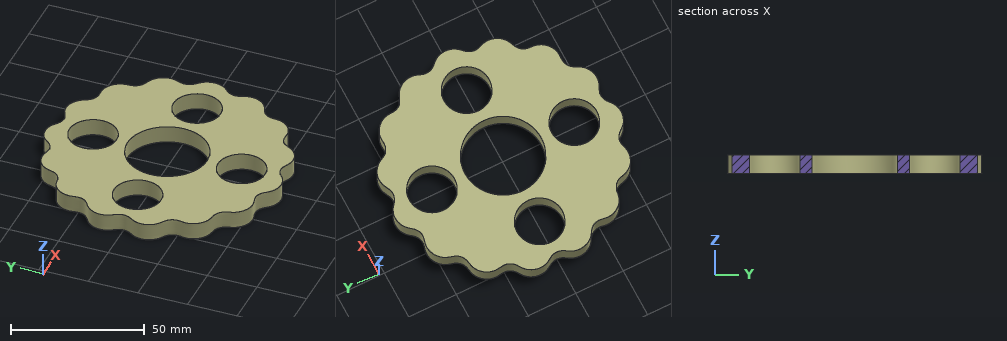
import cadquery as cq
import math

outer_length = 95.1
thickness = 7.0
lobe_count = 15
pin_count = lobe_count + 1
pin_circle_radius = 49.9
rolling_ratio = 0.6
eccentricity = rolling_ratio * pin_circle_radius / pin_count

bore_diameter = 32.0
hole_count = 4
hole_diameter = 18.9
hole_circle_radius = 30.0

points_per_lobe = 24
point_count = lobe_count * points_per_lobe
angles = [2 * math.pi * i / point_count for i in range(point_count)]


def trochoid_point(angle):
    """Path of a pin centre around the disc, with a crest on +X."""
    turn = pin_count * angle
    x = pin_circle_radius * math.cos(angle) + eccentricity * math.cos(turn)
    y = pin_circle_radius * math.sin(angle) + eccentricity * math.sin(turn)
    return x, y


def outward_normal(angle):
    """Unit normal of the trochoid, pointing away from the disc."""
    turn = pin_count * angle
    x = pin_circle_radius * math.cos(angle) + eccentricity * pin_count * math.cos(turn)
    y = pin_circle_radius * math.sin(angle) + eccentricity * pin_count * math.sin(turn)
    length = math.hypot(x, y)
    return x / length, y / length


trochoid_half_length = max(trochoid_point(angle)[1] for angle in angles)
pin_radius = trochoid_half_length - outer_length / 2


def edge_point(angle):
    """Point of the disc edge, one pin radius inside the trochoid."""
    x, y = trochoid_point(angle)
    normal_x, normal_y = outward_normal(angle)
    return x - pin_radius * normal_x, y - pin_radius * normal_y


edge_points = [edge_point(angle) for angle in angles]
plate = cq.Workplane("XY").spline(edge_points, periodic=True).close().extrude(thickness)

bore = cq.Workplane("XY").circle(bore_diameter / 2).extrude(thickness)

ring_holes = (
    cq.Workplane("XY")
    .polarArray(hole_circle_radius, 0, 360, hole_count)
    .circle(hole_diameter / 2)
    .extrude(thickness)
)

result = plate.cut(bore).cut(ring_holes)